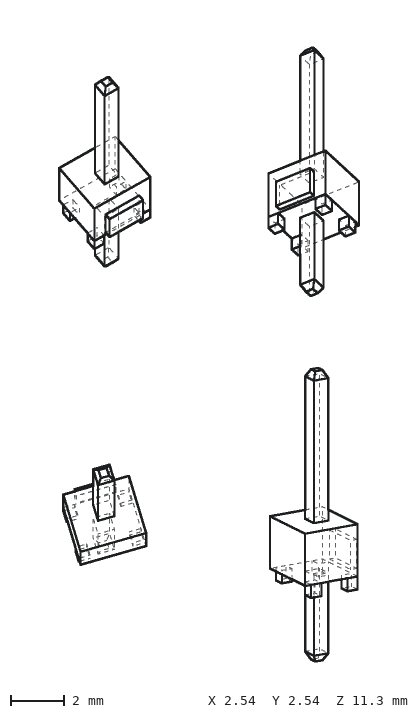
import cadquery as cq

total_height = 11.3
footprint = 2.54

key_depth = 0.26
key_width = 1.53
key_height = 1.13
key_bottom = 0.14
housing_length = footprint - key_depth
housing_width = footprint
housing_height = 2.03
housing_min_x = -footprint / 2
housing_max_x = housing_min_x + housing_length

foot_size = 0.44
foot_height = 0.51
foot_center_x = housing_max_x - foot_size / 2
foot_center_y = (housing_width - foot_size) / 2

pin_size = 0.63
tip_size = pin_size / 2
tip_height = 0.29
upper_pin_length = 5.84
lower_pin_length = total_height - housing_height - upper_pin_length


def make_box(length, width, height, center_x, center_y, bottom_z):
    """Box centred at a place in X and Y, rising from bottom_z."""
    box = cq.Workplane("XY").box(length, width, height, centered=(True, True, False))
    return box.translate((center_x, center_y, bottom_z))


def make_pin(length):
    """Square pin rising from Z = 0, with its tapered tip at the top."""
    shank_length = length - tip_height
    shank = cq.Workplane("XY").rect(pin_size, pin_size).extrude(shank_length)
    tip = (
        cq.Workplane("XY")
        .workplane(offset=shank_length)
        .rect(pin_size, pin_size)
        .workplane(offset=tip_height)
        .rect(tip_size, tip_size)
        .loft(ruled=True)
    )
    return shank.union(tip)


housing_center_x = (housing_min_x + housing_max_x) / 2
housing = make_box(housing_length, housing_width, housing_height, housing_center_x, 0, 0)

key_center_x = housing_max_x + key_depth / 2
key = make_box(key_depth, key_width, key_height, key_center_x, 0, key_bottom)

feet = []
for side_x in (-1, 1):
    for side_y in (-1, 1):
        foot = make_box(
            foot_size, foot_size, foot_height,
            side_x * foot_center_x, side_y * foot_center_y, -foot_height,
        )
        feet.append(foot.val())

upper_pin = make_pin(upper_pin_length).translate((0, 0, housing_height))
lower_pin = make_pin(lower_pin_length).mirror("XY")

result = cq.Compound.makeCompound([housing.val(), key.val(), *feet, upper_pin.val(), lower_pin.val()])